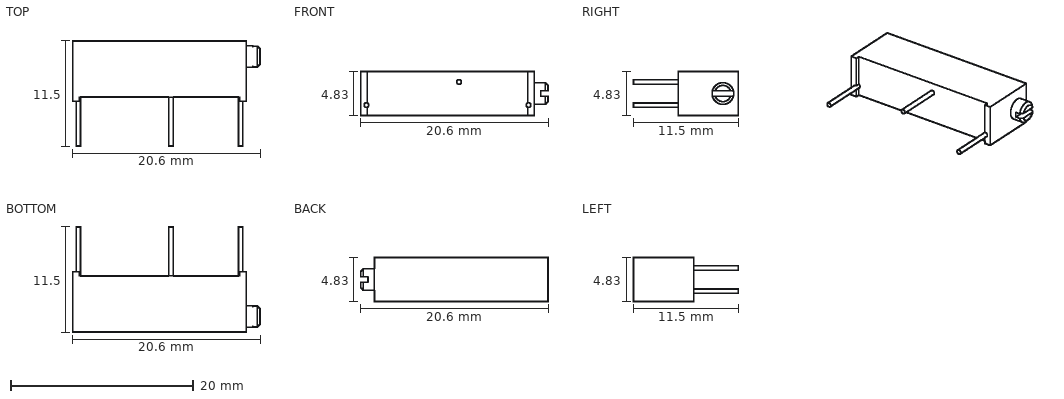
import cadquery as cq

BODY_LENGTH = 19.05
BODY_DEPTH = 6.63
BODY_HEIGHT = 4.83

FOOT_WIDTH = 0.74
FOOT_HEIGHT = 0.46

GRID = 2.54
PIN_DIAMETER = 0.51
PIN_LENGTH = 4.9
END_PIN_SPAN = 7 * GRID
MIDDLE_PIN_PITCH = 4 * GRID
PIN_ROW_OFFSET = GRID / 2

SCREW_DIAMETER = 2.38
SCREW_LENGTH = 1.515
SCREW_CHAMFER = 0.3
SCREW_INSET = 1.71
SLOT_WIDTH = 0.58
SLOT_DEPTH = 0.8


def make_housing():
    """Block with a shallow recess that leaves a foot at each end."""
    block = cq.Workplane("XY").box(BODY_LENGTH, BODY_DEPTH, BODY_HEIGHT, centered=(True, False, True))
    recess_length = BODY_LENGTH - 2 * FOOT_WIDTH
    recess = cq.Workplane("XY").box(recess_length, FOOT_HEIGHT, BODY_HEIGHT, centered=(True, False, True))
    return block.cut(recess)


def make_pin(x, z):
    """Round pin along Y, reaching from its free tip to the recess floor."""
    base = cq.Workplane("XZ", origin=(x, FOOT_HEIGHT, z))
    return base.circle(PIN_DIAMETER / 2).extrude(PIN_LENGTH + FOOT_HEIGHT)


def make_screw():
    """Screw head along +X with a chamfered rim and a slot parallel to Y."""
    end_x = BODY_LENGTH / 2
    screw_y = BODY_DEPTH - SCREW_INSET
    head = (
        cq.Workplane("YZ", origin=(end_x, screw_y, 0))
        .circle(SCREW_DIAMETER / 2)
        .extrude(SCREW_LENGTH)
        .faces(">X")
        .edges()
        .chamfer(SCREW_CHAMFER)
    )
    slot_start = end_x + SCREW_LENGTH - SLOT_DEPTH
    slot = (
        cq.Workplane("XY", origin=(slot_start, screw_y, 0))
        .box(SLOT_DEPTH, SCREW_DIAMETER, SLOT_WIDTH, centered=(False, True, True))
    )
    return head.cut(slot)


first_pin_x = -END_PIN_SPAN / 2
pin_places = [
    (first_pin_x, -PIN_ROW_OFFSET),
    (first_pin_x + MIDDLE_PIN_PITCH, PIN_ROW_OFFSET),
    (first_pin_x + END_PIN_SPAN, -PIN_ROW_OFFSET),
]

result = make_housing().union(make_screw())
for pin_x, pin_z in pin_places:
    result = result.union(make_pin(pin_x, pin_z))